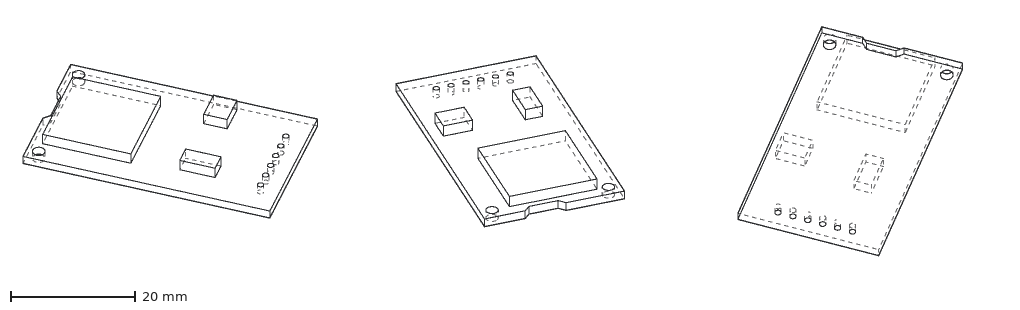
import cadquery as cq

board_length = 42.0
board_width = 24.0
board_thickness = 1.5
total_height = 3.5
component_height = total_height - board_thickness

notch_start = 10.0
notch_end = 17.0
notch_depth = 1.0

mount_diameter = 2.0
mount_inset = 2.0

pin_diameter = 1.0
pin_count = 6
pin_row_span = 12.7
pin_row_x = 38.5
pin_pitch = pin_row_span / (pin_count - 1)

module_side = 15.0
chip_column_x = 25.0
main_module = (2.0, 4.0, module_side, module_side)
rear_chip = (chip_column_x, 17.0, 4.0, 5.0)
front_chip = (chip_column_x, 5.0, 6.0, 3.0)


def make_board():
    """Flat board outline with the 45 degree notch on its left edge."""
    outline = [
        (0, 0),
        (board_length, 0),
        (board_length, board_width),
        (0, board_width),
        (0, notch_end),
        (notch_depth, notch_end - notch_depth),
        (notch_depth, notch_start + notch_depth),
        (0, notch_start),
    ]
    return cq.Workplane("XY").polyline(outline).close().extrude(board_thickness)


def make_holes(centers, diameter):
    """Cutting cylinders through the full board thickness."""
    return cq.Workplane("XY").pushPoints(centers).circle(diameter / 2).extrude(board_thickness)


def make_component(x, y, length, width):
    """Rectangular block standing on the board's top face."""
    block = cq.Workplane("XY").box(length, width, component_height, centered=False)
    return block.translate((x, y, board_thickness))


mount_centers = [(mount_inset, mount_inset), (mount_inset, board_width - mount_inset)]
first_pin_y = (board_width - pin_row_span) / 2
pin_centers = [(pin_row_x, first_pin_y + i * pin_pitch) for i in range(pin_count)]

result = make_board()
result = result.cut(make_holes(mount_centers, mount_diameter))
result = result.cut(make_holes(pin_centers, pin_diameter))
for component in (main_module, rear_chip, front_chip):
    result = result.union(make_component(*component))